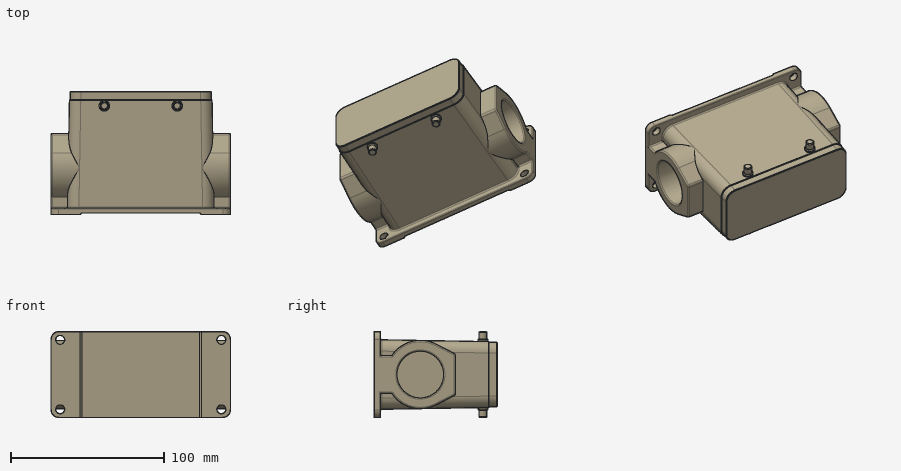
import cadquery as cq
import math

PLATE_LENGTH = 117.0
PLATE_HEIGHT = 56.0
PLATE_THICKNESS = 4.2
PLATE_CORNER_RADIUS = 5.0
PLATE_EDGE_ROUND = 0.6
MOUNT_HOLE_DIAMETER = 5.7
MOUNT_HOLE_X = 52.5
MOUNT_HOLE_Z = 22.6
RELIEF_DEPTH = 0.9
RELIEF_MOUTH_HALF_WIDTH = 39.5
RELIEF_FLOOR_HALF_WIDTH = 38.4

OVERALL_DEPTH = 80.3
LIP_LENGTH = 5.4
LIP_STEP = 0.5
LIP_EDGE_CHAMFER = 0.5
BOX_END_Y = OVERALL_DEPTH - LIP_LENGTH
BOX_END_HALF_X = 46.6
BOX_END_HALF_Z = 21.5
BOX_END_CHAMFER = 0.4
BOX_DRAFT = 1.0
BOX_CORNER_RADIUS = 7.5
ROOT_FILLET = 0.8

ENTRY_Y = 30.1
ENTRY_RADIUS = (
    BOX_END_HALF_Z + (BOX_END_Y - ENTRY_Y) * math.tan(math.radians(BOX_DRAFT))
) * math.cos(math.radians(BOX_DRAFT))
ENTRY_NOSE_Y = 53.0
ENTRY_NOSE_FILLET = 1.8
ENTRY_FLANK_ANGLE = 27.0
ENTRY_NECK_HALF_HEIGHT = 12.3
ENTRY_NECK_FILLET = 0.8
ENTRY_EDGE_ROUND = 0.9
BORE_RIM_DIAMETER = 32.0
BORE_RIM_ROUND = 0.8
BORE_DIAMETER = BORE_RIM_DIAMETER - 2 * BORE_RIM_ROUND
BORE_DEPTH = 19.9

PIN_X = 23.8
PIN_Y = 70.9
PIN_DIAMETER = 5.3
PIN_END_CHAMFER = 0.6
PIN_END_Z = PLATE_HEIGHT / 2
COLLAR_DIAMETER = 6.8
COLLAR_BASE_Z = BOX_END_HALF_Z - 0.6
COLLAR_RIM_Z = 22.6
COLLAR_TOP_Z = 23.3


def make_plate():
    """Rounded rectangular plate with its inner edge rounded."""
    return (
        cq.Workplane("XZ")
        .rect(PLATE_LENGTH, PLATE_HEIGHT)
        .extrude(-PLATE_THICKNESS)
        .edges("|Y")
        .fillet(PLATE_CORNER_RADIUS)
        .faces(">Y")
        .edges()
        .fillet(PLATE_EDGE_ROUND)
    )


def make_box():
    """Box that narrows from the plate toward its far end."""
    growth = BOX_END_Y * math.tan(math.radians(BOX_DRAFT))
    return (
        cq.Workplane("XZ")
        .rect(2 * (BOX_END_HALF_X + growth), 2 * (BOX_END_HALF_Z + growth))
        .extrude(-BOX_END_Y, taper=BOX_DRAFT)
        .edges("not(|X or |Z)")
        .fillet(BOX_CORNER_RADIUS)
        .faces(">Y")
        .chamfer(BOX_END_CHAMFER)
    )


def make_lip():
    """Straight-sided lip, set in slightly from the end of the box."""
    return (
        cq.Workplane("XZ", origin=(0, BOX_END_Y, 0))
        .rect(2 * (BOX_END_HALF_X - LIP_STEP), 2 * (BOX_END_HALF_Z - LIP_STEP))
        .extrude(-LIP_LENGTH)
        .edges("|Y")
        .fillet(BOX_CORNER_RADIUS - LIP_STEP)
        .faces(">Y")
        .chamfer(LIP_EDGE_CHAMFER)
    )


def make_entries():
    """Both cable entries as one bar that runs along X through the box.

    The profile is a circle joined to the plate by a neck, with two tangent flanks
    that lead to a flat nose.
    """
    flank = math.radians(ENTRY_FLANK_ANGLE)
    nose_reach = ENTRY_NOSE_Y - ENTRY_Y
    nose_half_height = (ENTRY_RADIUS - nose_reach * math.sin(flank)) / math.cos(flank)
    tangent_y = ENTRY_Y + ENTRY_RADIUS * math.sin(flank)
    tangent_z = ENTRY_RADIUS * math.cos(flank)
    neck = ENTRY_NECK_HALF_HEIGHT
    neck_end_y = ENTRY_Y - math.sqrt(ENTRY_RADIUS**2 - neck**2)

    bar = (
        cq.Workplane("YZ", origin=(-PLATE_LENGTH / 2, 0, 0))
        .moveTo(0, -neck)
        .lineTo(neck_end_y, -neck)
        .threePointArc((ENTRY_Y, -ENTRY_RADIUS), (tangent_y, -tangent_z))
        .lineTo(ENTRY_NOSE_Y, -nose_half_height)
        .lineTo(ENTRY_NOSE_Y, nose_half_height)
        .lineTo(tangent_y, tangent_z)
        .threePointArc((ENTRY_Y, ENTRY_RADIUS), (neck_end_y, neck))
        .lineTo(0, neck)
        .close()
        .extrude(PLATE_LENGTH)
    )
    for z in (-neck, neck):
        corner = cq.selectors.NearestToPointSelector((0, neck_end_y, z))
        bar = bar.edges("|X").edges(corner).fillet(ENTRY_NECK_FILLET)
    return bar.faces(">Y").edges("|X").fillet(ENTRY_NOSE_FILLET)


def round_entry_ends(bar):
    """Round the end outlines of the entries, except along the plate's outer face."""
    return bar.faces("<X or >X").edges("not <Y").fillet(ENTRY_EDGE_ROUND)


def make_bores():
    """Blind cylinders that enter the cable entries from the two ends."""
    bores = cq.Workplane("YZ")
    for side in (-1, 1):
        bores = bores.add(
            cq.Workplane("YZ", origin=(side * PLATE_LENGTH / 2, ENTRY_Y, 0))
            .circle(BORE_DIAMETER / 2)
            .extrude(-side * BORE_DEPTH)
        )
    return bores.combine()


def round_bore_rims(body):
    """Round the bore mouths, the only end-face edges inside the entry outline."""
    reach = (BORE_DIAMETER + BORE_RIM_DIAMETER) / 4
    mouths = cq.selectors.BoxSelector(
        (-PLATE_LENGTH, ENTRY_Y - reach, -reach),
        (PLATE_LENGTH, ENTRY_Y + reach, reach),
        boundingbox=True,
    )
    return body.faces("<X or >X").edges(mouths).fillet(BORE_RIM_ROUND)


def make_relief():
    """Shallow trapezoidal channel across the middle of the plate's outer face."""
    return (
        cq.Workplane("XY", origin=(0, 0, -PLATE_HEIGHT / 2))
        .polyline([
            (-RELIEF_MOUTH_HALF_WIDTH, 0),
            (-RELIEF_FLOOR_HALF_WIDTH, RELIEF_DEPTH),
            (RELIEF_FLOOR_HALF_WIDTH, RELIEF_DEPTH),
            (RELIEF_MOUTH_HALF_WIDTH, 0),
        ])
        .close()
        .extrude(PLATE_HEIGHT)
    )


def make_mount_holes():
    return (
        cq.Workplane("XZ")
        .rect(2 * MOUNT_HOLE_X, 2 * MOUNT_HOLE_Z, forConstruction=True)
        .vertices()
        .circle(MOUNT_HOLE_DIAMETER / 2)
        .extrude(-PLATE_THICKNESS)
    )


def fillet_roots(body):
    """Fillet the corners where the box and the entry necks rise from the plate."""
    slab_half_z = PLATE_HEIGHT / 2 - PLATE_CORNER_RADIUS
    slab_half_y = PLATE_EDGE_ROUND / 2
    roots = cq.selectors.BoxSelector(
        (-PLATE_LENGTH / 2, PLATE_THICKNESS - slab_half_y, -slab_half_z),
        (PLATE_LENGTH / 2, PLATE_THICKNESS + slab_half_y, slab_half_z),
        boundingbox=True,
    )
    return body.edges(roots).fillet(ROOT_FILLET)


def make_housing():
    entries = round_entry_ends(make_entries())
    body = make_plate().union(entries).union(make_box()).union(make_lip())
    body = fillet_roots(body).cut(make_bores())
    return round_bore_rims(body).cut(make_relief()).cut(make_mount_holes())


def make_pin(x, side):
    """Pin with a conical-topped collar on the upper (side 1) or lower (side -1) box face."""
    pin_radius = PIN_DIAMETER / 2
    collar_radius = COLLAR_DIAMETER / 2
    return (
        cq.Workplane("XZ", origin=(x, PIN_Y, 0))
        .polyline([
            (0, side * COLLAR_BASE_Z),
            (collar_radius, side * COLLAR_BASE_Z),
            (collar_radius, side * COLLAR_RIM_Z),
            (pin_radius, side * COLLAR_TOP_Z),
            (pin_radius, side * (PIN_END_Z - PIN_END_CHAMFER)),
            (pin_radius - PIN_END_CHAMFER, side * PIN_END_Z),
            (0, side * PIN_END_Z),
        ])
        .close()
        .revolve(360, (0, 0), (0, 1))
    )


def make_pins(housing):
    """Four pins, each trimmed to stand on the sloping box face."""
    pins = []
    for x in (-PIN_X, PIN_X):
        for side in (-1, 1):
            pins.append(make_pin(x, side).cut(housing).val())
    return pins


housing = make_housing()
pins = make_pins(housing)
result = cq.Compound.makeCompound([housing.val(), *pins])